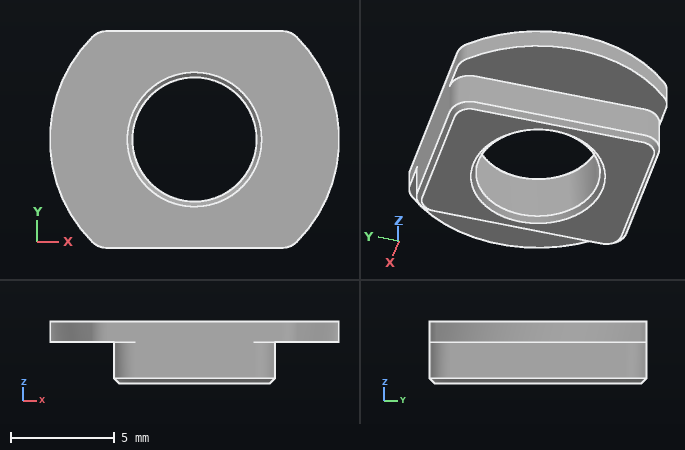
import cadquery as cq

flange_diameter = 14.0
flange_thickness = 1.0
width_across_flats = 10.5
corner_radius = 1.0

block_length = 7.8
block_height = 2.0

hole_diameter = 6.0
edge_chamfer = 0.25

total_height = block_height + flange_thickness


def make_flange():
    """Disc trimmed by two flats, with its four corners rounded."""
    disc = cq.Workplane("XY").circle(flange_diameter / 2).extrude(flange_thickness)
    trim = cq.Workplane("XY").rect(flange_diameter, width_across_flats).extrude(flange_thickness)
    trimmed = disc.intersect(trim)
    corners = trimmed.edges("|Z").edges("<Y or >Y")
    return corners.fillet(corner_radius).translate((0, 0, block_height))


def make_block():
    """Rounded rectangular block with a chamfered bottom rim."""
    block = cq.Workplane("XY").rect(block_length, width_across_flats).extrude(block_height)
    return block.edges("|Z").fillet(corner_radius).faces("<Z").edges().chamfer(edge_chamfer)


def make_hole():
    """Cutting tool for the through hole, flared outwards at both rims."""
    bore_radius = hole_diameter / 2
    rim_radius = bore_radius + edge_chamfer
    half_profile = (
        cq.Workplane("XZ")
        .moveTo(0, 0)
        .lineTo(rim_radius, 0)
        .lineTo(bore_radius, edge_chamfer)
        .lineTo(bore_radius, total_height - edge_chamfer)
        .lineTo(rim_radius, total_height)
        .lineTo(0, total_height)
        .close()
    )
    return half_profile.revolve(360, (0, 0), (0, 1))


result = make_flange().union(make_block()).cut(make_hole())